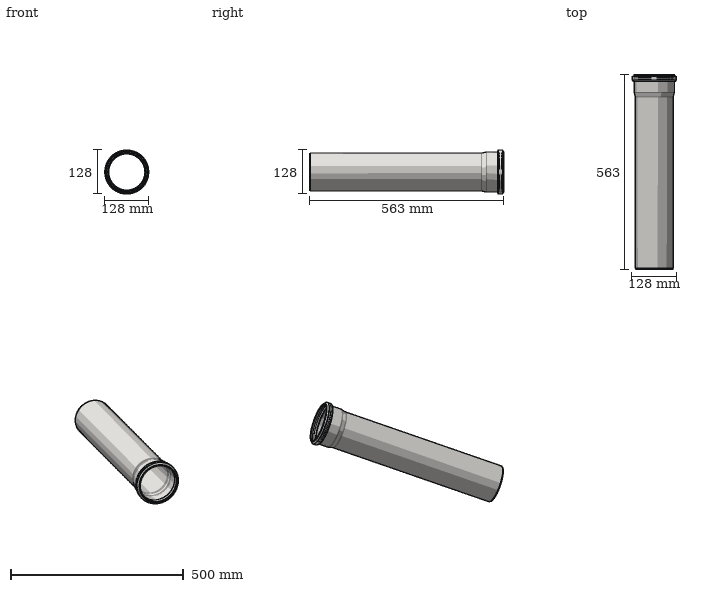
import cadquery as cq

length = 563.0
wall = 3.1
mouth_y = length / 2
plain_end_y = -length / 2

pipe_diameter = 110.5
plain_end_diameter = 107.0
socket_diameter = 117.0
collar_diameter = 128.0
collar_back_diameter = 123.0
mouth_diameter = 116.5

plain_end_chamfer = 3.5
collar_front_taper = 5.0
lip_length = 1.5
collar_back_taper = 3.5
collar_length = 19.0
socket_cone_start = 51.0
socket_cone_end = 65.0

pipe_radius = pipe_diameter / 2
socket_radius = socket_diameter / 2
collar_radius = collar_diameter / 2

cone_small_y = mouth_y - socket_cone_end
cone_large_y = mouth_y - socket_cone_start
collar_back_y = mouth_y - collar_length
collar_rear_edge_y = collar_back_y + collar_back_taper
collar_front_edge_y = mouth_y - collar_front_taper


def revolved(points):
    """Turn a closed (radius, y) outline around the Y axis."""
    return cq.Workplane("XY").polyline(points).close().revolve(360, (0, 0, 0), (0, 1, 0))


body = revolved([
    (0, plain_end_y),
    (plain_end_diameter / 2, plain_end_y),
    (pipe_radius, plain_end_y + plain_end_chamfer),
    (pipe_radius, cone_small_y),
    (socket_radius, cone_large_y),
    (socket_radius, collar_back_y),
    (collar_back_diameter / 2, collar_back_y),
    (collar_radius, collar_rear_edge_y),
    (collar_radius, collar_front_edge_y),
    (mouth_diameter / 2, mouth_y - lip_length),
    (mouth_diameter / 2, mouth_y),
    (0, mouth_y),
])

bore = revolved([
    (0, plain_end_y),
    (pipe_radius - wall, plain_end_y),
    (pipe_radius - wall, cone_small_y),
    (socket_radius - wall, cone_large_y),
    (socket_radius - wall, collar_back_y + wall),
    (collar_radius - wall, collar_rear_edge_y + wall),
    (collar_radius - wall, collar_front_edge_y - wall),
    (mouth_diameter / 2 - wall, mouth_y - lip_length),
    (mouth_diameter / 2 - wall, mouth_y),
    (0, mouth_y),
])

result = body.cut(bore)